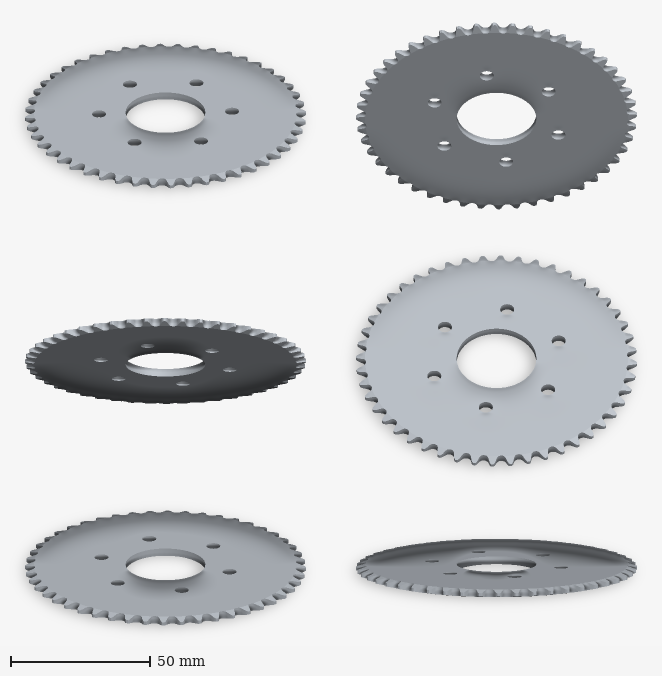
import cadquery as cq
import math

TOOTH_COUNT = 48
PITCH_RADIUS = 48.6
TIP_RADIUS = 50.4
SEAT_RADIUS = 1.7
FLANK_ANGLE = 19.0
SHOULDER_HEIGHT = 49.4
TIP_LAND = 0.8

THICKNESS = 2.8
BEVEL_START_RADIUS = 47.1
BEVEL_ANGLE = 14.0
BEVEL_OVERRUN = 1.0

BORE_DIAMETER = 28.6
BOLT_CIRCLE_RADIUS = 23.9
BOLT_HOLE_DIAMETER = 5.0
BOLT_COUNT = 6
FIRST_BOLT_ANGLE = 90.0

TOOTH_STEP = 360.0 / TOOTH_COUNT
HALF_STEP = math.radians(TOOTH_STEP / 2)
ROOT_RADIUS = PITCH_RADIUS - SEAT_RADIUS


def rotated(point, degrees):
    """Turn a point about the sprocket axis."""
    turn = math.radians(degrees)
    x, y = point
    return (
        x * math.cos(turn) - y * math.sin(turn),
        x * math.sin(turn) + y * math.cos(turn),
    )


def toothed_blank():
    """Plate with the full tooth outline, walked clockwise from a tooth on the Y axis."""
    lean = math.radians(FLANK_ANGLE)
    flank_x = PITCH_RADIUS * math.sin(HALF_STEP) - SEAT_RADIUS * math.cos(lean)
    flank_y = PITCH_RADIUS * math.cos(HALF_STEP) - SEAT_RADIUS * math.sin(lean)
    shoulder_x = flank_x - (SHOULDER_HEIGHT - flank_y) * math.tan(lean)
    land_x = TIP_LAND / 2
    chord = math.hypot(shoulder_x - land_x, TIP_RADIUS - SHOULDER_HEIGHT)
    chord_lean = math.atan2(shoulder_x - land_x, TIP_RADIUS - SHOULDER_HEIGHT)
    rounding_radius = chord / 2 / math.sin(chord_lean - lean)
    root = (ROOT_RADIUS * math.sin(HALF_STEP), ROOT_RADIUS * math.cos(HALF_STEP))

    outline = cq.Workplane("XY").workplane(offset=-THICKNESS / 2).moveTo(-land_x, TIP_RADIUS)
    for tooth in range(TOOTH_COUNT):
        angle = -tooth * TOOTH_STEP
        next_angle = angle - TOOTH_STEP
        outline = (
            outline.lineTo(*rotated((land_x, TIP_RADIUS), angle))
            .radiusArc(rotated((shoulder_x, SHOULDER_HEIGHT), angle), rounding_radius)
            .lineTo(*rotated((flank_x, flank_y), angle))
            .threePointArc(rotated(root, angle), rotated((-flank_x, flank_y), next_angle))
            .lineTo(*rotated((-shoulder_x, SHOULDER_HEIGHT), next_angle))
            .radiusArc(rotated((-land_x, TIP_RADIUS), next_angle), rounding_radius)
        )
    return outline.close().extrude(THICKNESS)


def bevelled_envelope():
    """Disc whose rim tapers on both faces from the bevel start to just past the tooth tips."""
    rim_radius = TIP_RADIUS + BEVEL_OVERRUN
    rim_z = THICKNESS / 2 - (rim_radius - BEVEL_START_RADIUS) * math.tan(math.radians(BEVEL_ANGLE))
    section = [
        (0, -THICKNESS / 2),
        (BEVEL_START_RADIUS, -THICKNESS / 2),
        (rim_radius, -rim_z),
        (rim_radius, rim_z),
        (BEVEL_START_RADIUS, THICKNESS / 2),
        (0, THICKNESS / 2),
    ]
    return cq.Workplane("XZ").polyline(section).close().revolve(360, (0, 0, 0), (0, 1, 0))


def hole_cutter():
    """Central bore and the ring of mounting holes."""
    base = cq.Workplane("XY").workplane(offset=-THICKNESS / 2)
    bore = base.circle(BORE_DIAMETER / 2).extrude(THICKNESS)
    bolts = (
        base.polarArray(BOLT_CIRCLE_RADIUS, FIRST_BOLT_ANGLE, 360, BOLT_COUNT)
        .circle(BOLT_HOLE_DIAMETER / 2)
        .extrude(THICKNESS)
    )
    return bore.union(bolts)


result = toothed_blank().intersect(bevelled_envelope()).cut(hole_cutter())